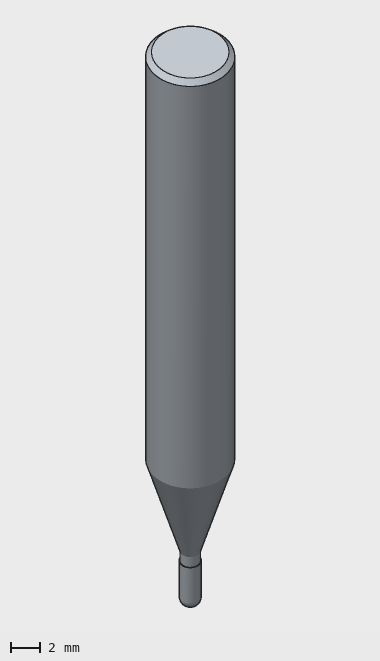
import cadquery as cq
import math

total_length = 50.0
shank_radius = 3.0
shank_chamfer = 0.4
taper_top = 13.2
taper_bottom = 4.9

cutter_radius = 0.75
cutter_length = 4.0
neck_radius = 0.7


def make_shank():
    """Chamfered cylindrical shank with its taper and short neck."""
    return (
        cq.Workplane("XZ")
        .moveTo(0, cutter_length)
        .lineTo(neck_radius, cutter_length)
        .lineTo(neck_radius, taper_bottom)
        .lineTo(shank_radius, taper_top)
        .lineTo(shank_radius, total_length - shank_chamfer)
        .lineTo(shank_radius - shank_chamfer, total_length)
        .lineTo(0, total_length)
        .close()
        .revolve(360, (0, 0), (0, 1))
    )


def make_cutter():
    """Cylindrical cutter with a hemispherical tip."""
    arc_middle = cutter_radius * math.sqrt(0.5)
    return (
        cq.Workplane("XZ")
        .threePointArc((arc_middle, cutter_radius - arc_middle), (cutter_radius, cutter_radius))
        .lineTo(cutter_radius, cutter_length)
        .lineTo(0, cutter_length)
        .close()
        .revolve(360, (0, 0), (0, 1))
    )


shank = make_shank()
cutter = make_cutter()

result = cq.Compound.makeCompound([shank.val(), cutter.val()])